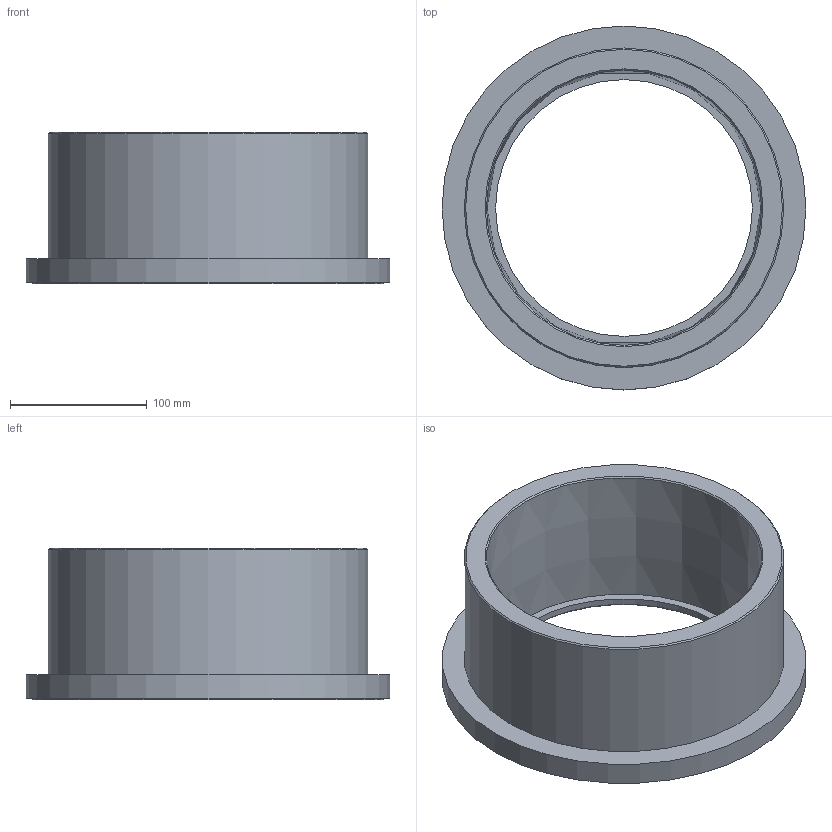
import cadquery as cq

height = 110.35
flange_diameter = 265.9
flange_top = 18.0
barrel_diameter = 233.5

face_setback = 5.0
face_height = 1.0

through_diameter = 187.6
shoulder_height = 5.8
socket_bottom_diameter = 199.7
socket_top_diameter = 201.0

barrel_chamfer = 1.0
mouth_chamfer = 1.0
through_chamfer = 1.0


def revolved(profile_points):
    """Revolve a closed (radius, height) outline about the Z axis."""
    profile = cq.Workplane("XZ").polyline(profile_points).close()
    return profile.revolve(360, (0, 0, 0), (0, 1, 0))


def outer_body():
    """Solid barrel with its flange and the raised sealing face below it."""
    barrel_radius = barrel_diameter / 2
    flange_radius = flange_diameter / 2
    face_radius = flange_radius - face_setback
    return revolved([
        (0, 0),
        (face_radius, 0),
        (face_radius, face_height),
        (flange_radius, face_height),
        (flange_radius, flange_top),
        (barrel_radius, flange_top),
        (barrel_radius, height - barrel_chamfer),
        (barrel_radius - barrel_chamfer, height),
        (0, height),
    ])


def bore():
    """Through hole, shoulder and tapered socket, chamfered at both ends."""
    through_radius = through_diameter / 2
    socket_bottom_radius = socket_bottom_diameter / 2
    socket_top_radius = socket_top_diameter / 2
    return revolved([
        (0, 0),
        (through_radius + through_chamfer, 0),
        (through_radius, through_chamfer),
        (through_radius, shoulder_height),
        (socket_bottom_radius, shoulder_height),
        (socket_top_radius, height - mouth_chamfer),
        (socket_top_radius + mouth_chamfer, height),
        (0, height),
    ])


result = outer_body().cut(bore())